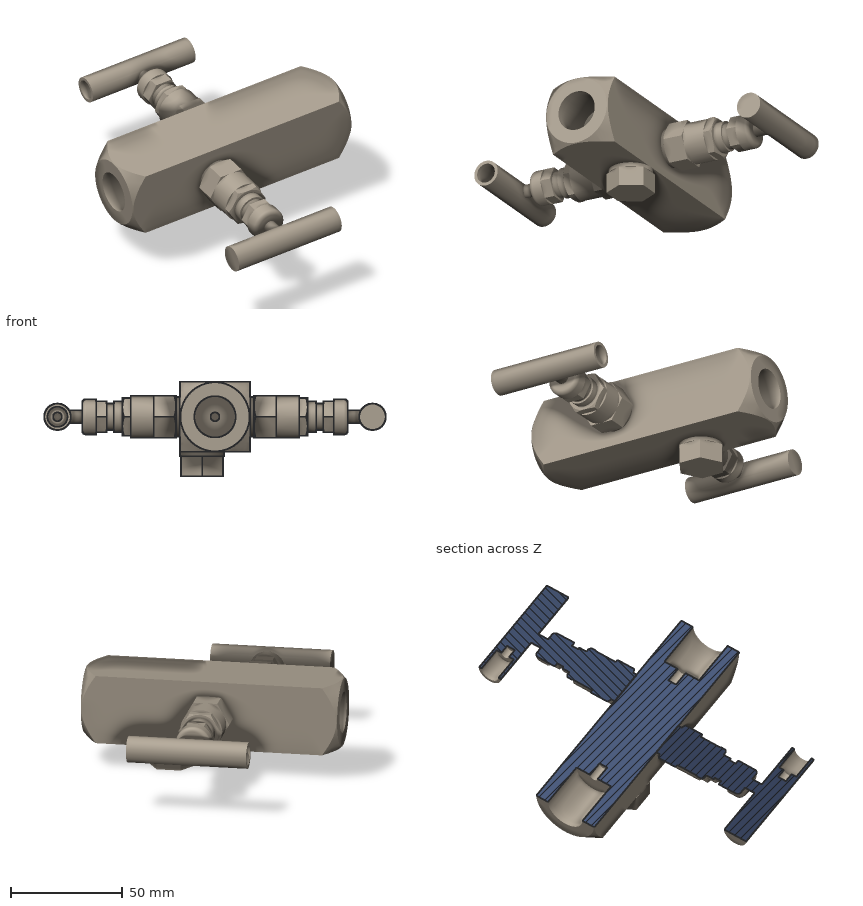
import cadquery as cq
import math

overall_width = 153.5
handle_diameter = 12.0
handle_length = 54.8
handle_reach = (overall_width - handle_diameter) / 2

block_side = 31.6
block_length = 117.0
end_face_diameter = 31.0
envelope_clearance = 1.5
port_diameter = 18.5
port_depth = 23.0
passage_diameter = 4.0
passage_depth = 7.7

overall_height = 42.5
vent_x = -5.8
vent_y = 18.4
vent_collar_diameter = 20.0
vent_collar_height = 1.8
vent_hex_flats = 19.0
vent_hex_height = overall_height - block_side - vent_collar_height

left_valve_y = -0.5
right_valve_y = -13.5
collar_diameter = 18.0
collar_length = 1.7
body_hex_flats = 19.0
body_hex_length = 10.0
barrel_diameter = 19.0
barrel_length = 10.5
lock_hex_flats = 17.0
lock_hex_length = 3.7
shoulder_diameter = 14.0
shoulder_length = 3.8
neck_diameter = 12.0
neck_length = 3.2
gland_hex_flats = 14.0
gland_hex_length = 4.8
cap_diameter = 16.0
cap_length = 6.3
cap_fillet = 1.8
stem_diameter = 6.0
hex_chamfer_length = 0.8
handle_bore_diameter = 9.0
handle_bore_depth = 12.3
handle_hole_diameter = 4.0
handle_hole_depth = 4.6


def corner_diameter(flats):
    """Distance across the corners of a hexagon, from the distance across its flats."""
    return flats / math.cos(math.pi / 6)


def y_cylinder(diameter, y_start, y_end):
    """Cylinder on the Y axis between two places."""
    return cq.Workplane("XZ", origin=(0, y_start, 0)).circle(diameter / 2).extrude(y_start - y_end)


def make_block():
    """Bar with coned ends, a stepped port in each end and the vent fitting below."""
    bar = cq.Workplane("XY").box(block_side, block_length, block_side)

    envelope_diameter = block_side * math.sqrt(2) + envelope_clearance
    cone_depth = (envelope_diameter - end_face_diameter) / 2
    envelope = y_cylinder(envelope_diameter, -block_length / 2, block_length / 2)
    bar = bar.intersect(envelope.edges().chamfer(cone_depth))

    for end in (-1, 1):
        face_y = end * block_length / 2
        floor_y = face_y - end * port_depth
        passage_end_y = floor_y - end * passage_depth
        bar = bar.cut(y_cylinder(port_diameter, face_y, floor_y))
        bar = bar.cut(y_cylinder(passage_diameter, floor_y, passage_end_y))

    return bar.union(make_vent())


def make_vent():
    """Round collar and hexagon that hang from the underside of the block."""
    collar = (
        cq.Workplane("XY", origin=(vent_x, vent_y, -block_side / 2))
        .circle(vent_collar_diameter / 2)
        .extrude(-vent_collar_height)
    )
    hexagon = (
        cq.Workplane("XY", origin=(vent_x, vent_y, -block_side / 2 - vent_collar_height))
        .transformed(rotate=(0, 0, 90))
        .polygon(6, corner_diameter(vent_hex_flats))
        .extrude(-vent_hex_height)
    )
    return collar.union(hexagon)


def axial_disc(diameter, start, length):
    """Cylinder on the X axis."""
    return cq.Workplane("YZ", origin=(start, 0, 0)).circle(diameter / 2).extrude(length)


def axial_hex(flats, start, length):
    """Hexagonal prism on the X axis with corners toward +Y and -Y."""
    corners = corner_diameter(flats)
    return cq.Workplane("YZ", origin=(start, 0, 0)).polygon(6, corners).extrude(length)


def chamfered_hex(flats, start, length, chamfered_end):
    """Hexagonal prism on the X axis with its corners turned off at one end, "<X" or ">X"."""
    turned = axial_disc(corner_diameter(flats), start, length)
    chamfer_depth = (corner_diameter(flats) - flats) / 2
    turned = turned.faces(chamfered_end).chamfer(hex_chamfer_length, chamfer_depth)
    return axial_hex(flats, start, length).intersect(turned)


def make_handle():
    """Round bar along Y with a stepped blind bore in its +Y end."""
    end_y = handle_length / 2
    floor_y = end_y - handle_bore_depth
    handle = y_cylinder(handle_diameter, -end_y, end_y)
    handle = handle.cut(y_cylinder(handle_bore_diameter, end_y, floor_y))
    handle = handle.cut(y_cylinder(handle_hole_diameter, floor_y, floor_y - handle_hole_depth))
    return handle.translate((handle_reach, 0, 0))


def make_valve():
    """Valve that points along +X from the block face, with its T handle."""
    body_hex_start = block_side / 2 + collar_length
    barrel_start = body_hex_start + body_hex_length
    lock_hex_start = barrel_start + barrel_length
    shoulder_start = lock_hex_start + lock_hex_length
    neck_start = shoulder_start + shoulder_length
    gland_hex_start = neck_start + neck_length
    cap_start = gland_hex_start + gland_hex_length
    stem_start = cap_start + cap_length

    valve = axial_disc(collar_diameter, block_side / 2, collar_length)
    sections = [
        chamfered_hex(body_hex_flats, body_hex_start, body_hex_length, "<X"),
        axial_disc(barrel_diameter, barrel_start, barrel_length),
        chamfered_hex(lock_hex_flats, lock_hex_start, lock_hex_length, ">X"),
        axial_disc(shoulder_diameter, shoulder_start, shoulder_length),
        axial_disc(neck_diameter, neck_start, neck_length),
        axial_hex(gland_hex_flats, gland_hex_start, gland_hex_length),
        axial_disc(cap_diameter, cap_start, cap_length).faces(">X").edges().fillet(cap_fillet),
        axial_disc(stem_diameter, stem_start, handle_reach - stem_start),
        make_handle(),
    ]
    for section in sections:
        valve = valve.union(section)
    return valve


block = make_block()

valves = []
for turn, valve_y in ((0, right_valve_y), (180, left_valve_y)):
    valve = make_valve().rotate((0, 0, 0), (0, 0, 1), turn).translate((0, valve_y, 0))
    valves.append(valve)

result = cq.Compound.makeCompound([block.val(), *[valve.val() for valve in valves]])